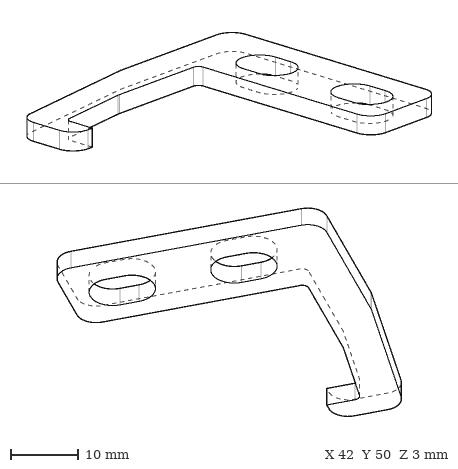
import cadquery as cq
import math

width = 42.0
height = 50.0
thickness = 3.0
corner_radius = 3.0
inner_radius = 1.0

bar_depth = 15.0
bar_bottom = height - bar_depth

arm_width = 7.1
outer_bend_y = 25.75
inner_bend_y = 17.5
lean_angle = math.radians(7.2)

hook_tip_x = 14.1
hook_depth = 4.0

slot_length = 10.0
slot_width = 7.0
slot_spacing = 19.0
last_slot_x = 33.6
slot_y = 42.0


def lean_shift(drop):
    """Sideways shift of the leaning arm after dropping by the given height."""
    return drop * math.tan(lean_angle)


def round_corners(body, points, radius):
    """Fillet the upright edges that pass through the given outline points."""
    for x, y in points:
        edge = cq.selectors.NearestToPointSelector((x, y, thickness / 2))
        body = body.edges("|Z").edges(edge).fillet(radius)
    return body


top_left = (0, height)
top_right = (width, height)
bar_right = (width, bar_bottom)
bar_inside = (arm_width, bar_bottom)
inner_bend = (arm_width, inner_bend_y)
hook_inside = (arm_width + lean_shift(inner_bend_y - hook_depth), hook_depth)
hook_tip = (hook_tip_x, hook_depth)
hook_bottom = (hook_tip_x, 0)
arm_foot = (lean_shift(outer_bend_y), 0)
outer_bend = (0, outer_bend_y)

outline = [
    top_left, top_right, bar_right, bar_inside, inner_bend,
    hook_inside, hook_tip, hook_bottom, arm_foot, outer_bend,
]
body = cq.Workplane("XY").polyline(outline).close().extrude(thickness)

outer_corners = [top_left, top_right, bar_right, hook_bottom, arm_foot]
body = round_corners(body, outer_corners, corner_radius)
body = round_corners(body, [bar_inside, hook_inside], inner_radius)
body = round_corners(body, [inner_bend, outer_bend], corner_radius)

slot_centres = [(last_slot_x - slot_spacing, slot_y), (last_slot_x, slot_y)]
slots = (
    cq.Workplane("XY")
    .pushPoints(slot_centres)
    .slot2D(slot_length, slot_width)
    .extrude(thickness)
)

result = body.cut(slots)